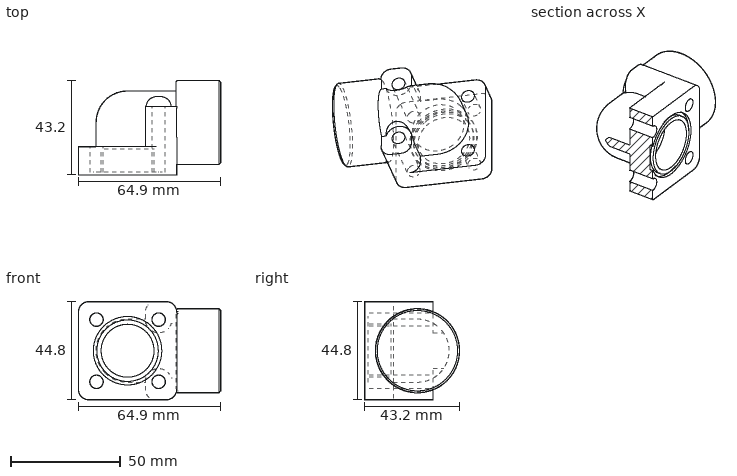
import cadquery as cq
import math

FLANGE_SIDE = 44.8
FLANGE_THICKNESS = 13.0
CORNER_RADIUS = 4.8
HALF_SIDE = FLANGE_SIDE / 2

WALL_WIDTH = 14.3
WALL_HEIGHT = 31.2

BOLT_OFFSET = 14.15
BOLT_HOLE_DIAMETER = 6.0
BOLT_HEAD_DIAMETER = 12.0

ELBOW_RADIUS = 14.4
OUTLET_HEIGHT = 24.0

COLLAR_RADIUS = 19.2
COLLAR_START = 22.0
COLLAR_END = 42.5
COLLAR_CHAMFER = 0.9
COLLAR_INNER_FILLET = 1.0

BORE_RADIUS = 12.05
BORE_DEPTH = 12.0
GROOVE_INNER_RADIUS = 14.0
GROOVE_OUTER_RADIUS = 15.6
GROOVE_DEPTH = 1.5


def rounded_block(x_min, x_max, height):
    """Block rising from y = 0 over the flange depth in Z, with rounded long edges."""
    return (
        cq.Workplane("XY")
        .box(x_max - x_min, height, FLANGE_SIDE, centered=(False, False, True))
        .translate((x_min, 0, 0))
        .edges("|Y")
        .fillet(CORNER_RADIUS)
    )


def y_cylinder(x, z, radius, y_start, length):
    """Cylinder along +Y from y_start."""
    axis_start = cq.Vector(x, y_start, z)
    return cq.Workplane(cq.Solid.makeCylinder(radius, length, axis_start, cq.Vector(0, 1, 0)))


def x_cylinder(radius, x_start, x_end):
    """Cylinder on the outlet axis between two X positions."""
    axis_start = cq.Vector(x_start, OUTLET_HEIGHT, 0)
    return cq.Workplane(cq.Solid.makeCylinder(radius, x_end - x_start, axis_start, cq.Vector(1, 0, 0)))


def make_elbow():
    """Domed half-round back joined to an outlet leg with a round top and flat sides."""
    dome_top = OUTLET_HEIGHT + ELBOW_RADIUS
    arc_reach = ELBOW_RADIUS * math.sqrt(0.5)
    domed_back = (
        cq.Workplane("YZ")
        .lineTo(dome_top, 0)
        .threePointArc((OUTLET_HEIGHT + arc_reach, arc_reach), (OUTLET_HEIGHT, ELBOW_RADIUS))
        .lineTo(0, ELBOW_RADIUS)
        .close()
        .revolve(360, (0, 0, 0), (1, 0, 0))
    )
    back_half = (
        cq.Workplane("XY")
        .box(ELBOW_RADIUS, dome_top, 2 * ELBOW_RADIUS, centered=(False, False, True))
        .translate((-ELBOW_RADIUS, 0, 0))
    )
    outlet_leg = (
        cq.Workplane("YZ")
        .moveTo(0, -ELBOW_RADIUS)
        .lineTo(OUTLET_HEIGHT, -ELBOW_RADIUS)
        .threePointArc((dome_top, 0), (OUTLET_HEIGHT, ELBOW_RADIUS))
        .lineTo(0, ELBOW_RADIUS)
        .close()
        .extrude(COLLAR_START)
    )
    return domed_back.intersect(back_half).union(outlet_leg)


def make_collar():
    """Outlet collar with a rounded inner rim and a chamfered outer rim."""
    collar = x_cylinder(COLLAR_RADIUS, COLLAR_START, COLLAR_END)
    collar = collar.faces("<X").edges().fillet(COLLAR_INNER_FILLET)
    return collar.faces(">X").edges().chamfer(COLLAR_CHAMFER)


def make_head_clearances():
    """Bolt head clearances above the wall, cutting into the outlet leg."""
    length = OUTLET_HEIGHT + ELBOW_RADIUS - WALL_HEIGHT
    clearances = cq.Workplane("XY")
    for z in (-BOLT_OFFSET, BOLT_OFFSET):
        clearances = clearances.add(
            y_cylinder(BOLT_OFFSET, z, BOLT_HEAD_DIAMETER / 2, WALL_HEIGHT, length)
        )
    return clearances.combine()


def make_bolt_holes():
    """Four bolt holes through the flange and the wall."""
    holes = cq.Workplane("XY")
    for x in (-BOLT_OFFSET, BOLT_OFFSET):
        for z in (-BOLT_OFFSET, BOLT_OFFSET):
            holes = holes.add(y_cylinder(x, z, BOLT_HOLE_DIAMETER / 2, 0, WALL_HEIGHT))
    return holes.combine()


def make_seal_groove():
    """Ring groove around the port."""
    outer = y_cylinder(0, 0, GROOVE_OUTER_RADIUS, 0, GROOVE_DEPTH)
    inner = y_cylinder(0, 0, GROOVE_INNER_RADIUS, 0, GROOVE_DEPTH)
    return outer.cut(inner)


flange = rounded_block(-HALF_SIDE, HALF_SIDE, FLANGE_THICKNESS)
wall = rounded_block(HALF_SIDE - WALL_WIDTH, HALF_SIDE, WALL_HEIGHT)
port_bore = y_cylinder(0, 0, BORE_RADIUS, 0, BORE_DEPTH)

elbow = make_elbow().cut(make_head_clearances())
body = flange.union(wall).union(elbow).union(make_collar())
result = body.cut(make_bolt_holes()).cut(port_bore).cut(make_seal_groove())